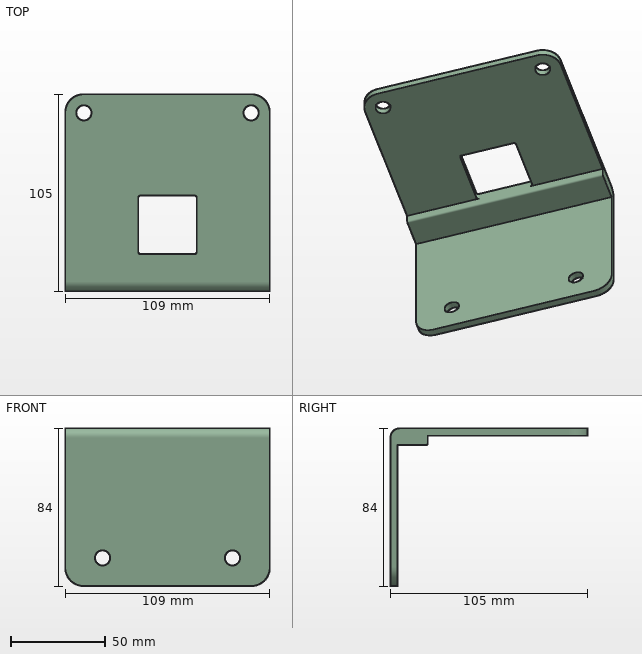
import cadquery as cq

width = 109.0
depth = 105.0
height = 84.0

top_thickness = 4.0
wall_thickness = 3.9
bend_radius = 5.0
corner_radius = 10.0

rib_depth = 20.0
rib_height = 9.0
rib_edge_radius = 1.0

hole_diameter = 8.0
top_hole_inset = corner_radius
wall_hole_side_inset = 20.0
wall_hole_bottom_inset = 15.0

window_size = 31.0
window_front_offset = rib_depth
window_corner_radius = 1.0


def block(size_y, size_z):
    """Full-width block with its outer upper front edge on the X axis."""
    solid = cq.Workplane("XY").box(width, size_y, size_z, centered=(True, False, False))
    return solid.translate((0, 0, -size_z))


top_plate = block(depth, top_thickness).edges("|Z and >Y").fillet(corner_radius)
wall = block(wall_thickness, height).edges("|Y and <Z").fillet(corner_radius)

rib = block(rib_depth, rib_height).edges("|X and >Y and <Z").fillet(rib_edge_radius)

bracket = top_plate.union(wall).union(rib)
edge_margin = 0.1
bend_edge = cq.selectors.BoxSelector(
    (-width, -edge_margin, -edge_margin),
    (width, edge_margin, edge_margin),
)
bracket = bracket.edges("|X").edges(bend_edge).fillet(bend_radius)

top_hole_x = width / 2 - top_hole_inset
top_hole_y = depth - top_hole_inset
top_holes = (
    cq.Workplane("XY")
    .pushPoints([(side * top_hole_x, top_hole_y) for side in (-1, 1)])
    .circle(hole_diameter / 2)
    .extrude(-top_thickness)
)

wall_hole_x = width / 2 - wall_hole_side_inset
wall_hole_z = wall_hole_bottom_inset - height
wall_holes = (
    cq.Workplane("XZ")
    .pushPoints([(side * wall_hole_x, wall_hole_z) for side in (-1, 1)])
    .circle(hole_diameter / 2)
    .extrude(-wall_thickness)
)

window = (
    cq.Workplane("XY")
    .center(0, window_front_offset + window_size / 2)
    .rect(window_size, window_size)
    .extrude(-top_thickness)
    .edges("|Z")
    .fillet(window_corner_radius)
)

result = bracket.cut(top_holes).cut(wall_holes).cut(window)